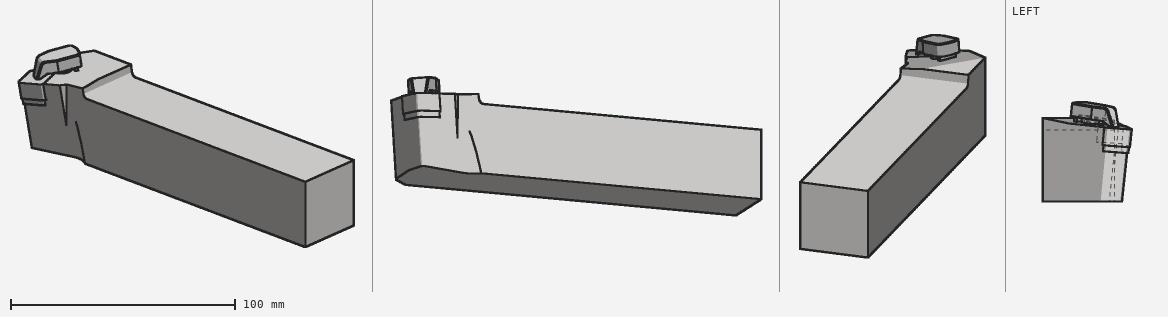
import cadquery as cq
import math

length = 169.8
shank_size = 32.0

head_height = 37.3
step_top_x = 35.0
step_foot_x = 35.5
step_foot_z = 34.0
step_end_x = 37.3

rake_angle = 8.5
hinge_x = 13.2

insert_size = 12.7
insert_thickness = 8.0
insert_radius = 1.4
insert_corner = (3.0, -8.1)
lead_angle = 15.0
shim_thickness = 2.7
shim_inset = 0.3

head_inset = 0.8
front_length = 20.2
flank_length = 10.4
front_angle = 14.5
end_face_angle = 41.0
side_top = (1.2, 20.4)
back_corner_radius = 3.4
flank_corner_radius = 5.1
nose_radius = 1.0
head_end_x = 30.5

runout_radius = 9.0
runout_lead = 1.4

clamp_pivot = (13.5, 10.9)
clamp_angle = 60.0
clamp_height = 8.1
clamp_half_width = 6.3
clamp_back = 8.1
clamp_side_back = 6.8
clamp_shoulder = -3.7
clamp_nose = -13.4
clamp_nose_top = -10.0
nose_half_width = 2.7
nose_top_radius = 2.5
clamp_corner_radius = 1.7
clamp_edge_chamfer = 0.42
clamp_gap = 2.2
foot_back = -12.2
arch_end = -8.5
heel_back = 5.6
heel_thickness = 1.4
heel_half_width = 4.5
screw_radius = 3.9

reach = 101.9

slope = math.tan(math.radians(rake_angle))
rake_origin_z = head_height - slope * (hinge_x + shank_size) / math.sqrt(2)
rake_normal = cq.Vector(-slope / math.sqrt(2), -slope / math.sqrt(2), 1)
rake_plane = cq.Plane(
    origin=(0, 0, rake_origin_z),
    xDir=(1, 0, slope / math.sqrt(2)),
    normal=rake_normal,
)
clamp_plane = cq.Plane(
    origin=rake_plane.toWorldCoords(clamp_pivot),
    xDir=rake_plane.xDir,
    normal=rake_normal,
).rotated((0, 0, clamp_angle))

upright = cq.selectors.ParallelDirSelector(rake_normal)


def step_along(point, angle, distance):
    """The point at a distance from another one, in a direction given in degrees."""
    turn = math.radians(angle)
    return (point[0] + distance * math.cos(turn), point[1] + distance * math.sin(turn))


def inset_corner(inset):
    """The cutting corner moved inwards from both of its edges."""
    return step_along(step_along(insert_corner, lead_angle, inset), lead_angle + 90, inset)


def square_plate(inset, top_depth, thickness):
    """A rounded square like the insert, with its top at a depth below the rake plane."""
    centre = inset_corner(insert_size / 2)
    size = insert_size - 2 * inset
    return (
        cq.Workplane(rake_plane)
        .workplane(offset=-top_depth)
        .center(*centre)
        .transformed(rotate=(0, 0, lead_angle))
        .rect(size, size)
        .extrude(-thickness)
        .edges(upright)
        .fillet(insert_radius)
    )


nose = inset_corner(head_inset)
front_end = step_along(nose, front_angle, front_length)
flank_end = step_along(nose, lead_angle + 90, flank_length)


def make_shank():
    """Shank with the raised end, without the room for the head front face."""
    profile = (
        cq.Workplane("XZ")
        .moveTo(step_top_x, head_height)
        .lineTo(step_foot_x, step_foot_z)
        .tangentArcPoint((step_end_x, shank_size), relative=False)
        .lineTo(length, shank_size)
        .lineTo(length, 0)
        .lineTo(front_end[0], 0)
        .lineTo(front_end[0], head_height)
        .close()
    )
    return profile.extrude(-shank_size)


def make_runout():
    """Cutter path along the head front face, ending in a round."""
    arc_start = step_along(front_end, front_angle, runout_lead)
    centre = step_along(arc_start, front_angle - 90, runout_radius)
    arc_middle = step_along(centre, front_angle + 45, runout_radius)
    arc_end = step_along(centre, front_angle, runout_radius)
    return (
        cq.Workplane(rake_plane)
        .moveTo(*nose)
        .lineTo(*arc_start)
        .threePointArc(arc_middle, arc_end)
        .lineTo(*step_along(arc_end, front_angle - 90, runout_radius))
        .lineTo(*step_along(nose, front_angle - 90, 2 * runout_radius))
        .close()
        .extrude(reach, both=True)
    )


def round_edge(prism, point, radius):
    """Round the edge of a prism that passes through a point of the rake plane."""
    nearest = cq.selectors.NearestToPointSelector(rake_plane.toWorldCoords(point).toTuple())
    return prism.edges(upright).edges(nearest).fillet(radius)


def make_head():
    """Prism square to the rake plane, trimmed to the bottom and back faces."""
    back_rise = head_end_x - side_top[0]
    end_rise = (head_end_x - front_end[0]) * math.tan(math.radians(end_face_angle))
    prism = (
        cq.Workplane(rake_plane)
        .polyline([
            nose,
            front_end,
            (head_end_x, front_end[1] + end_rise),
            (head_end_x, side_top[1] + back_rise),
            side_top,
            flank_end,
        ])
        .close()
        .extrude(reach, both=True)
    )
    prism = round_edge(prism, nose, nose_radius)
    prism = round_edge(prism, side_top, back_corner_radius)
    prism = round_edge(prism, flank_end, flank_corner_radius)
    trim = cq.Workplane("XY").box(2 * reach, 2 * shank_size, head_height, centered=(True, True, False))
    return prism.intersect(trim)


def make_clamp():
    """Finger clamp: tapered nose on the insert, arched underside, heel and screw below."""
    outline = (
        cq.Workplane(clamp_plane)
        .moveTo(clamp_nose, nose_half_width)
        .lineTo(clamp_shoulder, clamp_half_width)
        .lineTo(clamp_side_back, clamp_half_width)
        .threePointArc((clamp_back, 0), (clamp_side_back, -clamp_half_width))
        .lineTo(clamp_shoulder, -clamp_half_width)
        .lineTo(clamp_nose, -nose_half_width)
        .close()
        .extrude(clamp_height)
    )
    along = clamp_plane.xDir
    back_corners = cq.selectors.CenterNthSelector(along, -1)
    outline = outline.edges(upright).edges(back_corners).fillet(clamp_corner_radius)
    side_plane = cq.Plane(origin=clamp_plane.origin, xDir=along, normal=clamp_plane.yDir * -1)
    side = (
        cq.Workplane(side_plane)
        .moveTo(clamp_nose, 0)
        .lineTo(clamp_nose_top, clamp_height)
        .lineTo(clamp_back, clamp_height)
        .lineTo(clamp_back, clamp_gap)
        .lineTo(arch_end, clamp_gap)
        .lineTo(foot_back, 0)
        .close()
        .extrude(clamp_half_width, both=True)
    )
    body = outline.intersect(side)
    heel = (
        cq.Workplane(clamp_plane)
        .center(heel_back - heel_thickness / 2, 0)
        .rect(heel_thickness, 2 * heel_half_width)
        .extrude(clamp_gap)
    )
    screw = cq.Workplane(clamp_plane).circle(screw_radius).extrude(clamp_gap)
    nose_top = clamp_plane.toWorldCoords((clamp_nose_top, 0, clamp_height)).toTuple()
    body = body.edges(cq.selectors.NearestToPointSelector(nose_top)).fillet(nose_top_radius)
    top = body.faces(cq.selectors.CenterNthSelector(rake_normal, -1))
    body = top.edges(-cq.selectors.CenterNthSelector(along, 0)).chamfer(clamp_edge_chamfer)
    return body.union(heel).union(screw)


def make_holder():
    """Shank, head, shim and clamp as one solid, with the seat for the insert."""
    above_rake = cq.Workplane(rake_plane).rect(2 * length, 2 * length).extrude(reach)
    holder = make_shank().cut(make_runout()).union(make_head()).cut(above_rake)
    holder = holder.union(square_plate(shim_inset, insert_thickness, shim_thickness))
    holder = holder.cut(square_plate(0, 0, insert_thickness))
    return holder.union(make_clamp())


insert = square_plate(0, 0, insert_thickness)
holder = make_holder()
result = cq.Compound.makeCompound([holder.val(), insert.val()])